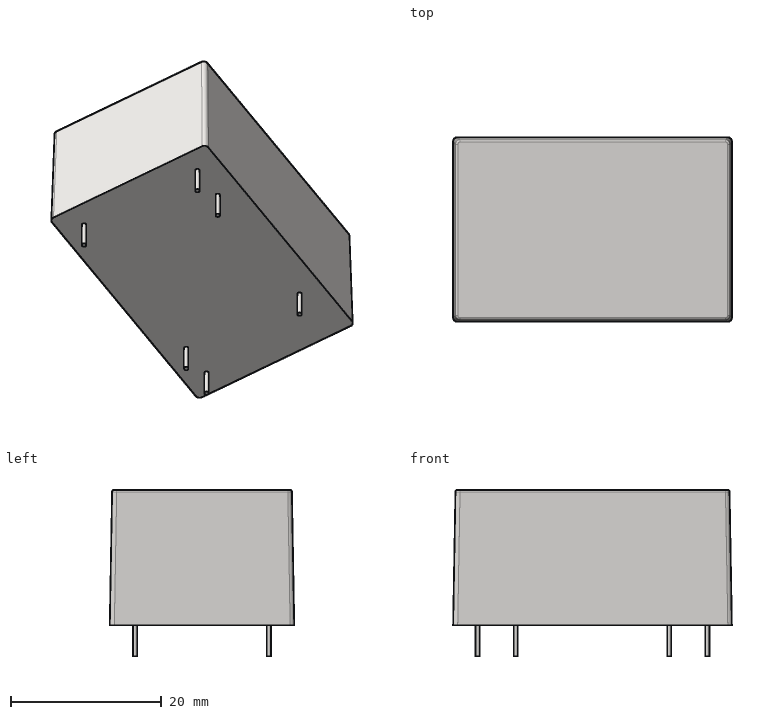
import cadquery as cq
import math

housing_length = 37.0
housing_width = 24.5
housing_height = 18.0
draft_angle = 1.0
corner_radius = 0.6
top_edge_radius = 0.3

total_height = 22.1
pin_length = total_height - housing_height
pin_diameter = 0.6
outer_pin_x = 15.25
inner_pin_x = 10.18
pin_row_y = 8.88

front_row_x = [-outer_pin_x, -inner_pin_x, outer_pin_x]
back_row_x = [-inner_pin_x, inner_pin_x, outer_pin_x]
pin_positions = [(x, -pin_row_y) for x in front_row_x] + [(x, pin_row_y) for x in back_row_x]


def make_housing():
    """Drafted block standing on Z = 0, with rounded upright corners and a rounded top rim."""
    top_inset = housing_height * math.tan(math.radians(draft_angle))
    block = (
        cq.Workplane("XY")
        .rect(housing_length, housing_width)
        .workplane(offset=housing_height)
        .rect(housing_length - 2 * top_inset, housing_width - 2 * top_inset)
        .loft(ruled=True)
    )
    upright_edges = block.edges("not(<Z or >Z)")
    rounded_block = upright_edges.fillet(corner_radius)
    return rounded_block.faces(">Z").edges().fillet(top_edge_radius)


def make_pin(x, y):
    """Round pin hanging from the underside of the housing."""
    return cq.Workplane("XY").center(x, y).circle(pin_diameter / 2).extrude(-pin_length)


housing = make_housing()
pins = [make_pin(x, y) for x, y in pin_positions]

result = cq.Compound.makeCompound([housing.val(), *[pin.val() for pin in pins]])